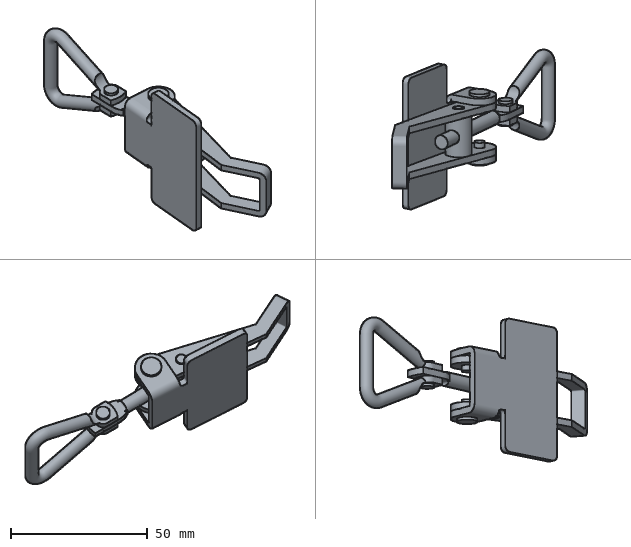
import cadquery as cq
import math


sheet = 2.5
bend_inner_radius = 0.5
bend_outer_radius = bend_inner_radius + sheet

ear_radius = 6.0
bracket_width = 25.0
plate_outer_y = -11.0
plate_start_x = 8.9
plate_end_x = 34.1
plate_height = 50.0
plate_corner_radius = 2.1
notch_corner_radius = 1.0
neck_half_width = 9.7

lever_width = bracket_width - 2 * sheet
lever_gap = lever_width - 2 * sheet
upper_bend = (43.0, -2.1)
lower_bend = (44.2, -7.6)
grip_length = 17.5
grip_angle = 30.0

rivet_head_radius = 3.76
rivet_head_height = 1.0
rivet_shank_radius = 2.0
rivet_shank_protrusion = 2.0

trunnion_x = 12.0
trunnion_y = -1.2
pull_angle = 4.0
trunnion_radius = 4.9
journal_radius = 2.1
journal_protrusion = 0.2
journal_chamfer = 0.2

screw_radius = 2.7
screw_start = -25.6
screw_end = 12.7
tongue_width = 8.0
tongue_thickness = 2.5
tongue_start = -40.7
tongue_tip = -41.3
tongue_taper_start = -30.1
tongue_taper_radius = 8.7
tongue_fillet = 0.9

bail_pin_position = -34.6
bail_pin_radius = 2.5
bail_pin_protrusion = 1.0

wire_radius = 2.49
bail_bar_position = -66.1
bail_bar_length = 19.9
bail_bend_radius = 4.5
bail_leg_angle = 24.0
bail_leg_length = 27.8
eye_thickness = 2.4
eye_start = -38.2
eye_corner_radius = 2.8
eye_flat_end = -30.8
eye_tip = -30.0
eye_outer_z = tongue_thickness / 2 + eye_thickness
relief_radius = 4.0
relief_center = -36.8


def block(x_range, y_range, z_range):
    """Box between the given limits."""
    size = [high - low for low, high in (x_range, y_range, z_range)]
    corner = (x_range[0], y_range[0], z_range[0])
    return cq.Workplane("XY").box(*size, centered=False).translate(corner)


def rod(radius, bottom, top, x=0.0, y=0.0):
    """Cylinder parallel to Z."""
    return cq.Workplane("XY", origin=(x, y, bottom)).circle(radius).extrude(top - bottom)


def both_sides(upper):
    """A shape together with its mirror image below the mid plane."""
    return upper.union(upper.mirror("XY"))


def place_on_pull_line(body):
    """Move a body from the straight screw layout to its tilted place in the latch."""
    return body.rotate((0, 0, 0), (0, 0, 1), pull_angle).translate((trunnion_x, trunnion_y, 0))


def tangent_point(point, side):
    """Point where a line from the given point touches the lever hub; side is 1 above, -1 below."""
    distance = math.hypot(*point)
    angle = math.atan2(point[1], point[0]) + side * math.acos(ear_radius / distance)
    return (ear_radius * math.cos(angle), ear_radius * math.sin(angle))


def make_bracket():
    half_width = bracket_width / 2
    inner_y = plate_outer_y + sheet
    channel_x = (-ear_radius, plate_start_x)
    channel = block(channel_x, (plate_outer_y, ear_radius), (-half_width, half_width))
    channel = channel.edges("|X and <Y").fillet(bend_outer_radius)
    cavity = block(channel_x, (inner_y, ear_radius), (-lever_width / 2, lever_width / 2))
    channel = channel.cut(cavity.edges("|X and <Y").fillet(bend_inner_radius))

    ears = block((-ear_radius, ear_radius), (plate_outer_y, 0), (-half_width, half_width))
    ears = ears.union(rod(ear_radius, -half_width, half_width))
    floor = block(channel_x, (plate_outer_y, inner_y), (-half_width, half_width))
    channel = channel.intersect(ears.union(floor))

    notch_x = (ear_radius, plate_start_x)
    notch = block(notch_x, (plate_outer_y, ear_radius), (neck_half_width, plate_height))
    notch = notch.edges("|Y and <Z").fillet(notch_corner_radius)
    channel = channel.cut(both_sides(notch))

    plate_z = (-plate_height / 2, plate_height / 2)
    plate = block((plate_start_x, plate_end_x), (plate_outer_y, inner_y), plate_z)
    plate = plate.edges("|Y").fillet(plate_corner_radius)
    return channel.union(plate).cut(rod(rivet_shank_radius, -half_width, half_width))


def make_lever():
    angle = math.radians(grip_angle)
    along = (math.cos(angle), math.sin(angle))
    across = (-along[1], along[0])
    bend_step = (upper_bend[0] - lower_bend[0], upper_bend[1] - lower_bend[1])
    grip_width = bend_step[0] * across[0] + bend_step[1] * across[1]
    lower_tip = [lower_bend[i] + grip_length * along[i] for i in (0, 1)]
    upper_tip = [lower_tip[i] + grip_width * across[i] for i in (0, 1)]

    sides = (
        cq.Workplane("XY", origin=(0, 0, -lever_width / 2))
        .moveTo(*tangent_point(lower_bend, -1))
        .lineTo(*lower_bend)
        .lineTo(*lower_tip)
        .lineTo(*upper_tip)
        .lineTo(*upper_bend)
        .lineTo(*tangent_point(upper_bend, 1))
        .threePointArc((-ear_radius, 0), tangent_point(lower_bend, -1))
        .close()
        .extrude(lever_width)
    )

    reach = 2 * plate_end_x
    grip_plane = cq.Plane(origin=(*lower_tip, 0), xDir=(*along, 0), normal=(*across, 0))
    square_to_strap = cq.selectors.ParallelDirSelector(grip_plane.zDir)
    tip_corners = cq.selectors.DirectionMinMaxSelector(grip_plane.xDir)
    strap = (
        cq.Workplane(grip_plane).center(-reach / 2, 0).rect(reach, lever_width)
        .extrude(reach, both=True)
    )
    strap = strap.edges(square_to_strap).edges(tip_corners).fillet(bend_outer_radius).intersect(sides)
    opening = (
        cq.Workplane(grip_plane).center(-sheet - reach / 2, 0).rect(reach, lever_gap)
        .extrude(reach, both=True)
    )
    opening = opening.edges(square_to_strap).edges(tip_corners).fillet(bend_inner_radius)
    lever = strap.cut(opening)
    lever = lever.cut(rod(rivet_shank_radius, -lever_width / 2, lever_width / 2))
    return lever.cut(rod(journal_radius, -lever_width / 2, lever_width / 2, trunnion_x, trunnion_y))


def make_pivot_rivet(side):
    """Short rivet through one ear and one lever arm; side is 1 for the upper one, -1 for the lower."""
    ear_face = bracket_width / 2
    rivet = rod(rivet_shank_radius, lever_gap / 2 - rivet_shank_protrusion, ear_face)
    rivet = rivet.union(rod(rivet_head_radius, ear_face, ear_face + rivet_head_height))
    return rivet if side > 0 else rivet.mirror("XY")


def make_trunnion():
    trunnion = rod(trunnion_radius, -lever_gap / 2, lever_gap / 2)
    half_length = lever_width / 2 + journal_protrusion
    journals = rod(journal_radius, -half_length, half_length).faces("<Z or >Z").chamfer(journal_chamfer)
    trunnion = trunnion.union(journals)
    screw_hole = cq.Workplane("YZ").circle(screw_radius).extrude(trunnion_radius, both=True)
    return place_on_pull_line(trunnion.cut(screw_hole))


def make_screw():
    half_width = tongue_width / 2
    shank_x = (screw_start - tongue_fillet, screw_end)
    shank = cq.Workplane("YZ", origin=(shank_x[0], 0, 0)).circle(screw_radius)
    shank = shank.extrude(shank_x[1] - shank_x[0])

    flat = block((tongue_start, screw_start), (-half_width, half_width), (tongue_thickness / 2, half_width))
    flat = flat.edges("|Y and >X").edges("<Z").fillet(tongue_fillet)
    shank = shank.cut(both_sides(flat))

    taper_length = screw_start - tongue_taper_start
    taper_drop = tongue_taper_radius - math.sqrt(tongue_taper_radius**2 - taper_length**2)
    root_half_width = half_width - taper_drop
    tongue = (
        cq.Workplane("XY", origin=(0, 0, -tongue_thickness / 2))
        .moveTo(tongue_taper_start, half_width)
        .lineTo(tongue_start, half_width)
        .threePointArc((tongue_tip, 0), (tongue_start, -half_width))
        .lineTo(tongue_taper_start, -half_width)
        .radiusArc((screw_start, -root_half_width), -tongue_taper_radius)
        .lineTo(screw_start, root_half_width)
        .radiusArc((tongue_taper_start, half_width), -tongue_taper_radius)
        .close()
        .extrude(tongue_thickness)
    )
    screw = tongue.union(shank)
    bail_pin_hole = rod(bail_pin_radius, -tongue_thickness, tongue_thickness, x=bail_pin_position)
    return place_on_pull_line(screw.cut(bail_pin_hole))


def make_bail_pin():
    half_length = eye_outer_z + bail_pin_protrusion
    return place_on_pull_line(rod(bail_pin_radius, -half_length, half_length, x=bail_pin_position))


def make_bail():
    angle = math.radians(bail_leg_angle)
    bend_x = bail_bar_position + bail_bend_radius
    bend_z = bail_bar_length / 2

    def on_bend(direction):
        """Point of the wire's bend in the given direction from the bend's centre."""
        x = bend_x + bail_bend_radius * math.cos(direction)
        return (x, bend_z + bail_bend_radius * math.sin(direction))

    leg_direction = math.pi / 2 - angle
    leg_start = on_bend(leg_direction)
    leg_end_x = leg_start[0] + bail_leg_length * math.cos(angle)
    leg_end_z = leg_start[1] - bail_leg_length * math.sin(angle)
    path = (
        cq.Workplane("XZ")
        .moveTo(bail_bar_position, 0)
        .lineTo(bail_bar_position, bend_z)
        .threePointArc(on_bend((math.pi + leg_direction) / 2), leg_start)
        .lineTo(leg_end_x, leg_end_z)
    )
    wire = cq.Workplane("XY").center(bail_bar_position, 0).circle(wire_radius).sweep(path)

    half_width = tongue_width / 2
    relief_z = eye_outer_z + relief_radius
    relief = (
        cq.Workplane("XZ", origin=(relief_center, 0, relief_z)).circle(relief_radius)
        .extrude(half_width, both=True)
    )
    relief = relief.union(
        block((relief_center, eye_tip), (-half_width, half_width), (eye_outer_z, relief_z))
    )
    slot = block((tongue_start, 0), (-half_width, half_width), (-half_width, tongue_thickness / 2))
    wire = wire.cut(slot)

    eye = block(
        (eye_start, eye_flat_end), (-half_width, half_width), (tongue_thickness / 2, relief_z)
    )
    eye = eye.edges("|Z and <X").fillet(eye_corner_radius)
    tip = (
        cq.Workplane("XY", origin=(0, 0, tongue_thickness / 2))
        .moveTo(eye_flat_end, -half_width)
        .threePointArc((eye_tip, 0), (eye_flat_end, half_width))
        .close()
        .extrude(eye_thickness)
    )
    bail = both_sides(wire.union(eye).cut(relief).union(tip))
    return place_on_pull_line(bail.cut(rod(bail_pin_radius, -eye_outer_z, eye_outer_z, x=bail_pin_position)))


bracket = make_bracket()
lever = make_lever()
pivot_rivets = [make_pivot_rivet(side) for side in (1, -1)]
trunnion = make_trunnion()
screw = make_screw()
bail_pin = make_bail_pin()
bail = make_bail()

result = cq.Compound.makeCompound([
    bracket.val(),
    lever.val(),
    *[rivet.val() for rivet in pivot_rivets],
    trunnion.val(),
    screw.val(),
    bail_pin.val(),
    bail.val(),
])